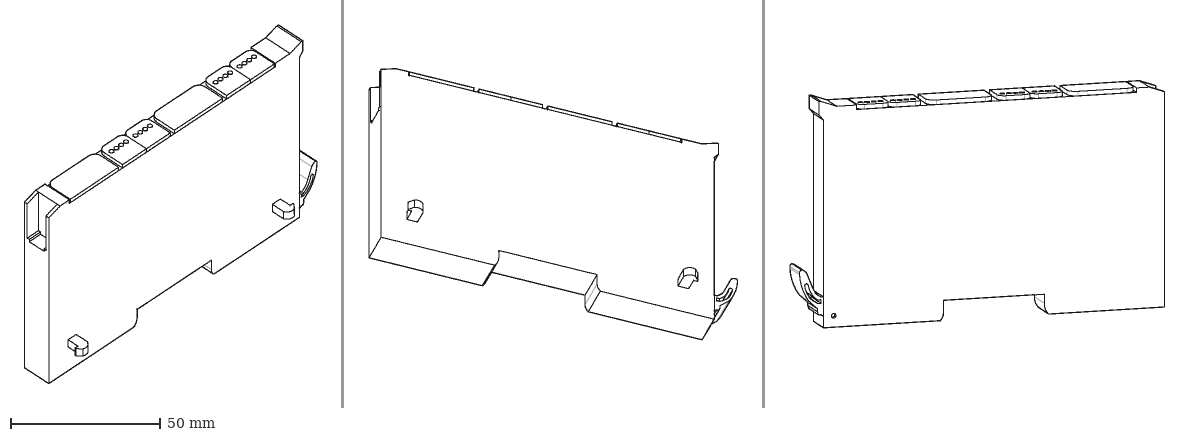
import cadquery as cq

HOUSING_WIDTH = 11.5
HOUSING_DEPTH = 119.6
HOUSING_TOP = 75.6
EDGE_INSET = 0.3

GRIP_OVERHANG = 1.5
GRIP_PEAK = 77.5
GRIP_CREST = 0.8
GRIP_RAMP_Y = 115.0
GRIP_TIP_Z = 72.9
GRIP_ROOT_Z = 71.1

FRONT_SLOPE_LENGTH = 5.4
FRONT_SLOPE_DROP = 1.9
WINDOW_WIDTH = 8.8
WINDOW_BOTTOM = 58.5
WINDOW_STEP_WIDTH = 6.9
WINDOW_STEP_DROP = 1.0

NOTCH_FRONT = 42.2
NOTCH_BACK = 77.5
NOTCH_HEIGHT = 6.9
NOTCH_FRONT_LEAD = (1.5, 3.8)
NOTCH_BACK_LEAD = (1.2, 2.8)
LEAD_BULGE = (0.3, 0.4)

SIDE_HOLE_Y = 116.0
SIDE_HOLE_Z = 4.0
SIDE_HOLE_DIAMETER = 1.5
SIDE_HOLE_DEPTH = 1.3

HOOK_REACH = 7.0
HOOK_BOTTOM = 10.6
HOOK_HEIGHT = 3.2
HOOK_ARM_INNER = 106.5
HOOK_ARM_OUTER = 110.4
HOOK_BARB_START = 4.6
HOOK_BARB_RISE = 1.4
HOOK_BARB_FLAT = 0.4
HOOK_CURVE_START = 5.2
HOOK_TIP_Y = 109.2
HOOK_SHOULDER_REACH = 6.8
HOOK_SHOULDER_Y = 110.2

SEAT_BACK = 107.9
SEAT_DROP = 1.5
SEAT_END_GAP = 0.4
GROUP_COUNT = 2
PLUG_LENGTH = 11.4
PLUG_RADIUS = 2.4
PLUGS_PER_GROUP = 2
COVER_GAP = 1.9
COVER_LENGTH = 23.0
COVER_RADIUS = 3.0

SEAT_Z = HOUSING_TOP - SEAT_DROP
PLUG_BACK = SEAT_BACK - SEAT_END_GAP
PLUG_ROW_LENGTH = PLUGS_PER_GROUP * PLUG_LENGTH
GROUP_LENGTH = PLUG_ROW_LENGTH + COVER_GAP + COVER_LENGTH
GROUP_PITCH = GROUP_LENGTH + COVER_GAP
SEAT_FRONT = PLUG_BACK - (GROUP_COUNT - 1) * GROUP_PITCH - GROUP_LENGTH - SEAT_END_GAP

TEST_HOLE_COUNT = 4
TEST_HOLE_PITCH = 2.3
TEST_HOLE_DIAMETER = 1.7
TEST_HOLE_X = 4.1

LEVER_INNER_ROOT_Z = 10.6
LEVER_INNER_BEND_START = (120.5, 10.6)
LEVER_INNER_BEND_MIDDLE = (122.3, 12.1)
LEVER_INNER_BEND_END = (123.4, 14.3)
LEVER_TIP_INNER = (125.3, 18.9)
LEVER_TIP_ROUND = (126.1, 19.8)
LEVER_TIP_PEAK = (127.1, 20.2)
LEVER_TIP_CORNER = (127.6, 20.0)
LEVER_TIP_OUTER = (127.9, 19.3)
LEVER_OUTER_BEND_START = (127.9, 18.7)
LEVER_OUTER_BEND_MIDDLE = (126.7, 13.3)
LEVER_OUTER_BEND_END = (124.7, 9.5)
LEVER_NECK = (121.6, 6.6)
LEVER_HEEL_TOP = (121.6, 5.6)
LEVER_HEEL_OUTER = (121.2, 4.5)
LEVER_HEEL_INNER = (120.5, 4.5)
LEVER_OUTER_ROOT_Z = 4.0

SLOT_END_Y = 120.3
SLOT_BEND_Y = 121.5
SLOT_LOW_Z = 8.5
SLOT_HIGH_Z = 9.6
SLOT_INNER_MIDDLE = (123.5, 11.6)
SLOT_INNER_TOP = (124.8, 14.8)
SLOT_PEAK = (125.5, 15.3)
SLOT_OUTER_TOP = (126.1, 14.8)
SLOT_OUTER_MIDDLE = (124.5, 11.0)


def box(x_range, y_range, z_range):
    """Box filling the given ranges along X, Y and Z."""
    sizes = [high - low for low, high in (x_range, y_range, z_range)]
    corner = (x_range[0], y_range[0], z_range[0])
    return cq.Workplane().box(*sizes, centered=False).translate(corner)


def side_profile():
    """Housing outline in the YZ plane, drawn from the lower front corner backwards."""
    front_length, front_height = NOTCH_FRONT_LEAD
    back_length, back_height = NOTCH_BACK_LEAD
    bulge_y, bulge_z = LEAD_BULGE
    front_bulge = (NOTCH_FRONT - bulge_y * front_length, bulge_z * front_height)
    back_bulge = (NOTCH_BACK + bulge_y * back_length, bulge_z * back_height)
    grip_tip = HOUSING_DEPTH + GRIP_OVERHANG
    return (
        cq.Workplane("YZ")
        .moveTo(0, 0)
        .lineTo(NOTCH_FRONT - front_length, 0)
        .threePointArc(front_bulge, (NOTCH_FRONT, front_height))
        .lineTo(NOTCH_FRONT, NOTCH_HEIGHT)
        .lineTo(NOTCH_BACK, NOTCH_HEIGHT)
        .lineTo(NOTCH_BACK, back_height)
        .threePointArc(back_bulge, (NOTCH_BACK + back_length, 0))
        .lineTo(HOUSING_DEPTH, 0)
        .lineTo(HOUSING_DEPTH, GRIP_ROOT_Z)
        .lineTo(grip_tip, GRIP_TIP_Z)
        .lineTo(grip_tip, GRIP_PEAK)
        .lineTo(grip_tip - GRIP_CREST, GRIP_PEAK)
        .lineTo(GRIP_RAMP_Y, HOUSING_TOP)
        .lineTo(FRONT_SLOPE_LENGTH, HOUSING_TOP)
        .lineTo(0, HOUSING_TOP - FRONT_SLOPE_DROP)
        .close()
    )


def window_cut():
    """Front window, open at the top, with a narrower step at its bottom."""
    middle = HOUSING_WIDTH / 2
    depth_range = (0, FRONT_SLOPE_LENGTH)
    half_width = WINDOW_WIDTH / 2
    half_step = WINDOW_STEP_WIDTH / 2
    opening = box((middle - half_width, middle + half_width), depth_range, (WINDOW_BOTTOM, HOUSING_TOP))
    step = box(
        (middle - half_step, middle + half_step),
        depth_range,
        (WINDOW_BOTTOM - WINDOW_STEP_DROP, WINDOW_BOTTOM),
    )
    return opening.union(step)


def side_hole():
    """Blind hole cut from the X = 0 side."""
    return (
        cq.Workplane("YZ")
        .center(SIDE_HOLE_Y, SIDE_HOLE_Z)
        .circle(SIDE_HOLE_DIAMETER / 2)
        .extrude(SIDE_HOLE_DEPTH)
    )


def back_hook():
    """Barbed hook near the back; it starts at mid width so that it fuses with the housing."""
    root = HOUSING_WIDTH / 2
    barb_x = HOUSING_WIDTH + HOOK_BARB_START
    barb_y = HOOK_ARM_OUTER + HOOK_BARB_RISE
    shoulder = (HOUSING_WIDTH + HOOK_SHOULDER_REACH, HOOK_SHOULDER_Y)
    return (
        cq.Workplane("XY", origin=(0, 0, HOOK_BOTTOM))
        .moveTo(root, HOOK_ARM_INNER)
        .lineTo(HOUSING_WIDTH + HOOK_CURVE_START, HOOK_ARM_INNER)
        .threePointArc((HOUSING_WIDTH + HOOK_REACH, HOOK_TIP_Y), shoulder)
        .lineTo(barb_x + HOOK_BARB_FLAT, barb_y)
        .lineTo(barb_x, barb_y)
        .lineTo(barb_x, HOOK_ARM_OUTER)
        .lineTo(root, HOOK_ARM_OUTER)
        .close()
        .extrude(HOOK_HEIGHT)
    )


def make_housing():
    seat = box((0, HOUSING_WIDTH), (SEAT_FRONT, SEAT_BACK), (SEAT_Z, HOUSING_TOP))
    hook = back_hook()
    front_hook = hook.mirror("XZ", (0, HOUSING_DEPTH / 2, 0))
    body = side_profile().extrude(HOUSING_WIDTH)
    body = body.cut(seat).cut(window_cut()).cut(side_hole())
    return body.union(hook).union(front_hook)


def seated_plate(back_y, length, radius):
    """Plate in the seat, flush with the housing top, rounded at its two X = 0 corners."""
    plate = box((EDGE_INSET, HOUSING_WIDTH), (back_y - length, back_y), (SEAT_Z, HOUSING_TOP))
    return plate.edges("|Z and <X").fillet(radius)


def make_plug(back_y):
    """Plug with a row of test holes centred along its length."""
    holes = (
        cq.Workplane("XY", origin=(TEST_HOLE_X, back_y - PLUG_LENGTH / 2, SEAT_Z))
        .rarray(1.3, TEST_HOLE_PITCH, 1, TEST_HOLE_COUNT)
        .circle(TEST_HOLE_DIAMETER / 2)
        .extrude(SEAT_DROP)
    )
    return seated_plate(back_y, PLUG_LENGTH, PLUG_RADIUS).cut(holes)


def make_cover(back_y):
    return seated_plate(back_y, COVER_LENGTH, COVER_RADIUS)


def make_lever():
    """Curved release lever behind the housing, with a curved slot through it along X."""
    lever_width = HOUSING_WIDTH - EDGE_INSET
    side_plane = cq.Workplane("YZ", origin=(EDGE_INSET, 0, 0))
    blade = (
        side_plane.moveTo(HOUSING_DEPTH, LEVER_INNER_ROOT_Z)
        .lineTo(*LEVER_INNER_BEND_START)
        .threePointArc(LEVER_INNER_BEND_MIDDLE, LEVER_INNER_BEND_END)
        .lineTo(*LEVER_TIP_INNER)
        .threePointArc(LEVER_TIP_ROUND, LEVER_TIP_PEAK)
        .threePointArc(LEVER_TIP_CORNER, LEVER_TIP_OUTER)
        .lineTo(*LEVER_OUTER_BEND_START)
        .threePointArc(LEVER_OUTER_BEND_MIDDLE, LEVER_OUTER_BEND_END)
        .lineTo(*LEVER_NECK)
        .lineTo(*LEVER_HEEL_TOP)
        .lineTo(*LEVER_HEEL_OUTER)
        .lineTo(*LEVER_HEEL_INNER)
        .lineTo(HOUSING_DEPTH, LEVER_OUTER_ROOT_Z)
        .close()
        .extrude(lever_width)
    )
    slot = (
        side_plane.moveTo(SLOT_END_Y, SLOT_LOW_Z)
        .lineTo(SLOT_END_Y, SLOT_HIGH_Z)
        .lineTo(SLOT_BEND_Y, SLOT_HIGH_Z)
        .threePointArc(SLOT_INNER_MIDDLE, SLOT_INNER_TOP)
        .threePointArc(SLOT_PEAK, SLOT_OUTER_TOP)
        .threePointArc(SLOT_OUTER_MIDDLE, (SLOT_BEND_Y, SLOT_LOW_Z))
        .close()
        .extrude(lever_width)
    )
    return blade.cut(slot)


housing = make_housing()
lever = make_lever()

plugs = []
covers = []
for group in range(GROUP_COUNT):
    group_back = PLUG_BACK - group * GROUP_PITCH
    for place in range(PLUGS_PER_GROUP):
        plugs.append(make_plug(group_back - place * PLUG_LENGTH))
    cover_back = group_back - PLUG_ROW_LENGTH - COVER_GAP
    covers.append(make_cover(cover_back))

plates = [plate.val() for plate in plugs + covers]
result = cq.Compound.makeCompound([housing.val(), lever.val(), *plates])